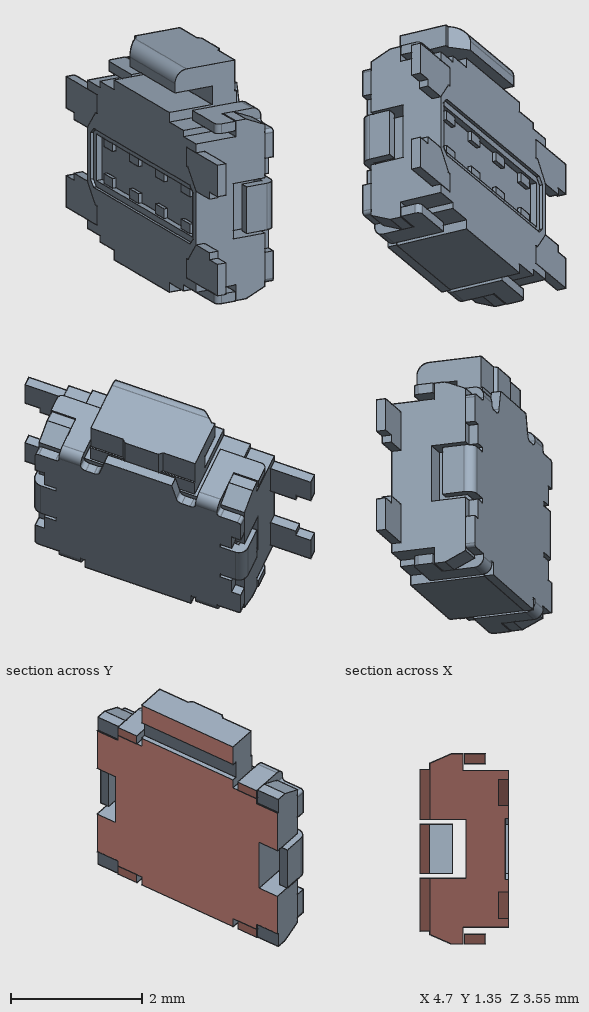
import cadquery as cq
import math


SIDES = (-1, 1)
OVERSHOOT = 0.1

depth = 1.35
sheet = 0.15
body_depth = depth - sheet
half_length = 1.69
half_height = 1.45
shoulder_drop = 0.155
shoulder_z = half_height - shoulder_drop
middle_half = 0.858
corner_x = 1.30
corner_z = 1.195
corner_y = 0.693
slope_start_y = 0.87
slope_end_z = 1.305

window_half_length = 1.493
window_half_height = 0.374
window_depth = 0.15
rim = 0.10
rim_depth = 0.05
block_pitch = 0.80
block_count = 4
block_width = 0.272
block_height = 0.155
block_thickness = 0.06

pocket_half_height = 0.446
pocket_start_y = 0.65
pocket_floor_x = 1.35

button_top = 2.10
button_front_y = 0.75
lip_front_y = 0.10
lip_bottom = 1.747
lip_radius = 0.20
lip_bevel_x = 0.80
lip_bevel = 0.253
pad_half = 0.275
upper_relief_y = 1.146
lower_relief_y = 1.17
relief_step_z = 1.60

leg_inner_x = 0.945
leg_front_y = 0.353
foot_back_y = 0.675
foot_outer_x = 1.705
foot_radius = 0.08
ear_top = 1.21
ear_bottom = 1.253
ear_radius = 0.056
ear_low_z = 0.757
waist_x = 1.54
relief_radius = 0.087
notch_end_x = 0.72
tab_root_x = 0.63
tab_half = 0.555
tab_top = 1.606
bottom_tab_half = 0.873
clip_outer_x = 1.75
clip_inner_x = clip_outer_x - sheet
clip_half = 0.376
clip_front_y = 0.85

terminal_outer_x = 2.35
terminal_step_x = 2.104
terminal_inner_x = 1.39
terminal_knee_x = 1.437
terminal_top = 1.053
terminal_knee_z = 0.745
terminal_step_z = 0.545
terminal_low_z = 0.432


def block(x0, x1, y0, y1, z0, z1):
    """Box between two corners, whichever way round each pair is given."""
    size = (abs(x1 - x0), abs(y1 - y0), abs(z1 - z0))
    centre = ((x0 + x1) / 2, (y0 + y1) / 2, (z0 + z1) / 2)
    return cq.Workplane("XY").box(*size).translate(centre)


def extrude_back(outline, start_y, thickness):
    """Extrude a closed XZ outline from start_y towards +Y."""
    return outline.extrude(-thickness).translate((0, start_y, 0))


def mirrored_points(points, side_x, side_z):
    """Copy of XZ points mirrored into the quadrant given by the two signs."""
    return [(side_x * x, side_z * z) for x, z in points]


def shoulders(side_x, side_z):
    """Material removed at one corner: shoulder, foot pocket and sloped corner post."""
    outer_x = side_x * (half_length + OVERSHOOT)
    outer_z = side_z * (half_height + OVERSHOOT)
    shoulder = block(side_x * middle_half, side_x * corner_x, -OVERSHOOT, depth, side_z * shoulder_z, outer_z)
    pocket_front = block(side_x * corner_x, outer_x, -OVERSHOOT, corner_y, side_z * corner_z, outer_z)
    slope = (
        cq.Workplane("YZ")
        .polyline([
            (slope_start_y, side_z * half_height),
            (body_depth, side_z * slope_end_z),
            (body_depth, side_z * half_height),
        ])
        .close()
        .extrude(side_x * half_length)
        .intersect(block(side_x * corner_x, outer_x, 0, depth, 0, outer_z))
    )
    return shoulder.union(pocket_front).union(slope)


def window():
    """Chamfered rim and rectangular pit in the mounting face, keeping the small blocks in the pit."""
    rim_tool = (
        block(-window_half_length - rim, window_half_length + rim, 0, rim_depth,
              -window_half_height - rim, window_half_height + rim)
        .edges("|Y")
        .chamfer(rim)
    )
    pit = block(-window_half_length, window_half_length, 0, window_depth,
                -window_half_height, window_half_height)
    for index in range(block_count):
        x = (index - (block_count - 1) / 2) * block_pitch
        for side_z in SIDES:
            pit = pit.cut(block(
                x - block_width / 2, x + block_width / 2,
                window_depth - block_thickness, window_depth,
                side_z * window_half_height, side_z * (window_half_height - block_height),
            ))
    return rim_tool.union(pit)


def button():
    """Hooked push button with a rounded lip, bevelled on its -X end, and a pad on its back."""
    hook = (
        cq.Workplane("YZ")
        .moveTo(body_depth, half_height)
        .lineTo(body_depth, button_top)
        .lineTo(lip_front_y + lip_radius, button_top)
        .radiusArc((lip_front_y, button_top - lip_radius), -lip_radius)
        .lineTo(lip_front_y, lip_bottom)
        .lineTo(button_front_y, lip_bottom)
        .lineTo(button_front_y, half_height)
        .close()
        .extrude(middle_half, both=True)
    )
    bevel = (
        cq.Workplane("XY")
        .polyline([
            (-middle_half, lip_front_y),
            (-middle_half, lip_front_y + lip_bevel),
            (-lip_bevel_x, lip_front_y + lip_bevel),
            (-lip_bevel_x + lip_bevel, lip_front_y),
        ])
        .close()
        .extrude(button_top)
    )
    return hook.cut(bevel)


def pad_relief(side, floor_y, z0, z1):
    """Strip removed from the back on one side of the pad, from z0 up to z1."""
    return (
        cq.Workplane("XY", origin=(0, 0, z0))
        .polyline([
            (side * middle_half, body_depth),
            (side * pad_half, body_depth),
            (side * (pad_half + body_depth - floor_y), floor_y),
            (side * middle_half, floor_y),
        ])
        .close()
        .extrude(z1 - z0)
    )


def terminal(side_x, side_z):
    """Flat solder lead let into the mounting face at one corner."""
    points = [
        (terminal_outer_x, terminal_top),
        (terminal_inner_x, terminal_top),
        (terminal_inner_x, terminal_knee_z),
        (terminal_knee_x, terminal_knee_z),
        (half_length, terminal_low_z),
        (terminal_step_x, terminal_low_z),
        (terminal_step_x, terminal_step_z),
        (terminal_outer_x, terminal_step_z),
    ]
    outline = cq.Workplane("XZ").polyline(mirrored_points(points, side_x, side_z)).close()
    return extrude_back(outline, 0, sheet)


terminals = [terminal(side_x, side_z) for side_x in SIDES for side_z in SIDES]

housing = block(-half_length, half_length, 0, body_depth, -half_height, half_height)
for side_x in SIDES:
    for side_z in SIDES:
        housing = housing.cut(shoulders(side_x, side_z))
    housing = housing.cut(block(side_x * pocket_floor_x, side_x * (half_length + OVERSHOOT),
                                pocket_start_y, body_depth, -pocket_half_height, pocket_half_height))
housing = housing.union(button()).cut(window())
for side in SIDES:
    housing = housing.cut(pad_relief(side, upper_relief_y, relief_step_z, button_top))
    housing = housing.cut(pad_relief(side, lower_relief_y, shoulder_z, relief_step_z))
for lead in terminals:
    housing = housing.cut(lead)


def plate_half(side):
    """One X half of the flat plate, from the bottom tab round the outside to the top tab."""
    arc45 = 1 - math.sqrt(0.5)

    def at(x, z):
        return (side * x, z)

    outline = (
        cq.Workplane("XZ")
        .moveTo(0, -half_height)
        .lineTo(*at(bottom_tab_half, -half_height))
        .lineTo(*at(bottom_tab_half, -ear_bottom))
        .lineTo(*at(leg_inner_x, -ear_bottom))
        .lineTo(*at(leg_inner_x, -shoulder_z))
        .lineTo(*at(corner_x, -shoulder_z))
        .lineTo(*at(corner_x, -ear_bottom))
        .lineTo(*at(half_length - ear_radius, -ear_bottom))
        .threePointArc(at(half_length - arc45 * ear_radius, -ear_bottom + arc45 * ear_radius),
                       at(half_length, -ear_bottom + ear_radius))
        .lineTo(*at(half_length, -ear_low_z))
        .lineTo(*at(waist_x, -ear_low_z))
        .lineTo(*at(waist_x, -pocket_half_height))
        .lineTo(*at(pocket_floor_x, -pocket_half_height))
        .lineTo(*at(pocket_floor_x, -clip_half))
        .lineTo(*at(clip_inner_x, -clip_half))
        .lineTo(*at(clip_inner_x, clip_half))
        .lineTo(*at(pocket_floor_x, clip_half))
        .lineTo(*at(pocket_floor_x, pocket_half_height))
        .lineTo(*at(waist_x, pocket_half_height))
        .lineTo(*at(waist_x, ear_low_z))
        .lineTo(*at(half_length, ear_low_z))
        .lineTo(*at(half_length, ear_top - ear_radius))
        .threePointArc(at(half_length - arc45 * ear_radius, ear_top - arc45 * ear_radius),
                       at(half_length - ear_radius, ear_top))
        .lineTo(*at(corner_x + ear_radius, ear_top))
        .threePointArc(at(corner_x + arc45 * ear_radius, ear_top + arc45 * ear_radius),
                       at(corner_x, ear_top + ear_radius))
        .lineTo(*at(corner_x, shoulder_z))
        .lineTo(*at(leg_inner_x, shoulder_z))
        .threePointArc(at(leg_inner_x - arc45 * relief_radius, shoulder_z - (1 - arc45) * relief_radius),
                       at(leg_inner_x - relief_radius, shoulder_z - relief_radius))
        .lineTo(*at(notch_end_x, shoulder_z - relief_radius))
        .tangentArcPoint(at(tab_root_x, shoulder_z), relative=False)
        .lineTo(*at(tab_half, tab_top))
        .lineTo(0, tab_top)
        .close()
    )
    return extrude_back(outline, body_depth, sheet)


def leg(side_x, side_z):
    """Leg bent forward over the housing shoulder, ending in a foot that points outwards."""
    inner_x = side_x * leg_inner_x
    inner_z = side_z * shoulder_z
    outer_z = side_z * half_height
    bend = (
        cq.Workplane("YZ", origin=(inner_x, 0, 0))
        .moveTo(body_depth, inner_z)
        .lineTo(depth, inner_z)
        .radiusArc((body_depth, outer_z), -side_z * sheet)
        .close()
        .extrude(side_x * (corner_x - leg_inner_x))
    )
    arm = block(inner_x, side_x * corner_x, leg_front_y, body_depth, inner_z, outer_z)
    outer_front_edge = ">X and <Y" if side_x > 0 else "<X and <Y"
    foot = (
        block(inner_x, side_x * foot_outer_x, leg_front_y, foot_back_y, inner_z, outer_z)
        .edges("|Z")
        .edges(outer_front_edge)
        .fillet(foot_radius)
    )
    return bend.union(arm).union(foot)


def side_clip(side):
    """Clip bent forward into the housing pocket."""
    return (
        cq.Workplane("XY", origin=(0, 0, -clip_half))
        .moveTo(side * clip_inner_x, clip_front_y)
        .lineTo(side * clip_outer_x, clip_front_y)
        .lineTo(side * clip_outer_x, body_depth)
        .radiusArc((side * clip_inner_x, depth), -side * sheet)
        .close()
        .extrude(2 * clip_half)
    )


cover = plate_half(-1).union(plate_half(1))
for side_x in SIDES:
    cover = cover.union(side_clip(side_x))
    for side_z in SIDES:
        cover = cover.union(leg(side_x, side_z))

result = cq.Compound.makeCompound([
    housing.val(),
    cover.val(),
    *[lead.val() for lead in terminals],
])